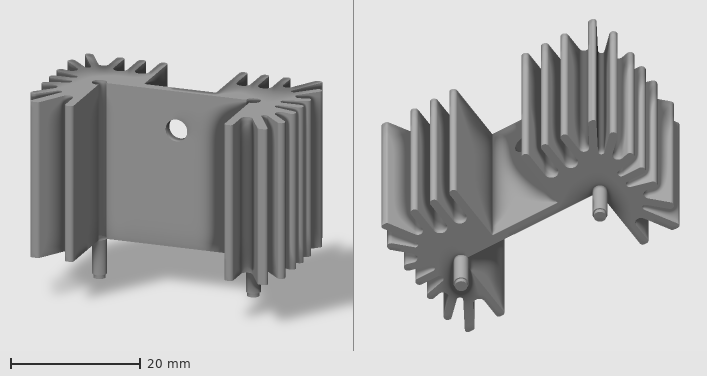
import cadquery as cq
import math

width = 41.9
depth = 24.9
height = 25.4
side_x = -width / 2
rear_y = depth / 2
front_y = -depth / 2

web_thickness = 1.65
rear_channel_half_width = 5.95
front_pocket_half_width = 12.45

mount_diameter = 3.55
mount_height = 19.03

fin_thickness = 1.3
steep_front_fin_thickness = 1.55
front_fin_thickness = 1.42
rear_fin_pitch = 3.55
steep_rear_fin_x = -19.15
steep_front_fin_x = -19.0
diagonal_fin_y = 8.75
shallow_fin_y = 3.48
tip_radius = 0.63
steep_tip_radius = 0.45
front_tip_radius = 0.5

rearward = 90
steep = 120
diagonal = 135
shallow = 165
sideways = 180
full_turn = 360

slot_floor_y = 6.1
rear_valley_radius = 0.85
steep_valley_radius = 0.5
diagonal_valley_radius = 0.9
shallow_valley_radius = 0.6
front_valley_radius = 0.92

pin_diameter = 2.35
pin_spacing = 25.4
pin_length = 6.35
pin_tip_length = 0.65
pin_tip_diameter = 1.93
pin_centers = [(-pin_spacing / 2, 0), (pin_spacing / 2, 0)]


def make_fin(tip, direction, thickness=fin_thickness, radius=tip_radius):
    """Describe a fin by the middle of its tip, its direction, thickness and tip radius."""
    return {"tip": tip, "angle": math.radians(direction), "thickness": thickness, "radius": radius}


def left_fins():
    """Fins of the left half, counterclockwise from the rear channel to the front pocket."""
    first_x = -rear_channel_half_width - fin_thickness / 2
    front_x = -front_pocket_half_width - front_fin_thickness / 2
    rear_fins = [make_fin((first_x - i * rear_fin_pitch, rear_y), rearward) for i in range(3)]
    return rear_fins + [
        make_fin((steep_rear_fin_x, rear_y), steep, radius=steep_tip_radius),
        make_fin((side_x, diagonal_fin_y), diagonal),
        make_fin((side_x, shallow_fin_y), shallow),
        make_fin((side_x, 0), sideways),
        make_fin((side_x, -shallow_fin_y), full_turn - shallow),
        make_fin((side_x, -diagonal_fin_y), full_turn - diagonal),
        make_fin(
            (steep_front_fin_x, front_y), full_turn - steep, steep_front_fin_thickness, steep_tip_radius
        ),
        make_fin((front_x, front_y), full_turn - rearward, front_fin_thickness, front_tip_radius),
    ]


wedge_valley_radii = [
    rear_valley_radius,
    steep_valley_radius,
    diagonal_valley_radius,
    shallow_valley_radius,
    shallow_valley_radius,
    diagonal_valley_radius,
    steep_valley_radius,
    front_valley_radius,
]


def meeting_point(point_a, angle_a, point_b, angle_b):
    """Point where two lines meet, each given by a point and an angle."""
    gap_x = point_b[0] - point_a[0]
    gap_y = point_b[1] - point_a[1]
    distance = (gap_x * math.sin(angle_b) - gap_y * math.cos(angle_b)) / math.sin(angle_b - angle_a)
    return (point_a[0] + distance * math.cos(angle_a), point_a[1] + distance * math.sin(angle_a))


def flank_point(fin, turn):
    """Point on a fin's flank: turn is -1 for its clockwise flank and 1 for the other."""
    offset = turn * fin["thickness"] / 2
    x, y = fin["tip"]
    return (x - offset * math.sin(fin["angle"]), y + offset * math.cos(fin["angle"]))


def tip_corners(fin):
    """The two corners where a fin's flanks meet the outer boundary."""
    boundary_angle = math.pi / 2 if fin["tip"][0] == side_x else 0
    return [
        (meeting_point(flank_point(fin, turn), fin["angle"], fin["tip"], boundary_angle), fin["radius"])
        for turn in (-1, 1)
    ]


def slot_corners(fin, next_fin):
    """The two floor corners of a straight slot whose floor is a half circle."""
    start_x = flank_point(fin, 1)[0]
    end_x = flank_point(next_fin, -1)[0]
    radius = (start_x - end_x) / 2
    return [((start_x, slot_floor_y), radius), ((end_x, slot_floor_y), radius)]


def wedge_corner(fin, next_fin, radius):
    """The corner where the facing flanks of two neighbouring fins would meet."""
    start, end = flank_point(fin, 1), flank_point(next_fin, -1)
    return [(meeting_point(start, fin["angle"], end, next_fin["angle"]), radius)]


def left_corners():
    """Corners of the left half of the outline, each a point and its rounding radius."""
    fins = left_fins()
    valleys = [slot_corners(fins[0], fins[1]), slot_corners(fins[1], fins[2])]
    for fin, next_fin, radius in zip(fins[2:], fins[3:], wedge_valley_radii):
        valleys.append(wedge_corner(fin, next_fin, radius))
    corners = [((-rear_channel_half_width, web_thickness), 0)]
    for fin, valley in zip(fins, valleys):
        corners += tip_corners(fin) + valley
    return corners + tip_corners(fins[-1]) + [((-front_pocket_half_width, 0), 0)]


def corner_arc(before, corner, after, radius):
    """Start, middle and end of the arc that rounds a corner."""
    x, y = corner
    angle_in = math.atan2(before[1] - y, before[0] - x)
    angle_out = math.atan2(after[1] - y, after[0] - x)
    bisector = math.atan2(
        math.sin(angle_in) + math.sin(angle_out), math.cos(angle_in) + math.cos(angle_out)
    )
    half_angle = math.acos(math.cos(angle_in - angle_out)) / 2
    tangent_length = radius / math.tan(half_angle)
    middle_distance = radius / math.sin(half_angle) - radius
    steps = [(tangent_length, angle_in), (middle_distance, bisector), (tangent_length, angle_out)]
    return [(x + length * math.cos(angle), y + length * math.sin(angle)) for length, angle in steps]


def rounded_outline(corners):
    """Closed outline through the corners, rounded with arcs; the first corner must be sharp."""
    shortest_line = 4.19e-07
    points = [point for point, _ in corners]
    current = points[0]
    outline = cq.Workplane("XY").moveTo(*current)
    for i in range(1, len(corners)):
        point, radius = corners[i]
        arc = [point]
        if radius > 0:
            arc = corner_arc(points[i - 1], point, points[(i + 1) % len(points)], radius)
        if math.dist(current, arc[0]) > shortest_line:
            outline = outline.lineTo(*arc[0])
        if radius > 0:
            outline = outline.threePointArc(arc[1], arc[2])
        current = arc[-1]
    return outline.close()


def make_heat_sink():
    """Finned extrusion with a round channel at each end of the web and a mounting hole."""
    left = left_corners()
    right = [((-x, y), radius) for (x, y), radius in reversed(left)]
    body = rounded_outline(left + right).extrude(height)
    channels = cq.Workplane("XY").pushPoints(pin_centers).circle(pin_diameter / 2).extrude(height)
    mount_hole = (
        cq.Workplane("XZ").center(0, mount_height).circle(mount_diameter / 2).extrude(-web_thickness)
    )
    return body.cut(channels).cut(mount_hole)


def make_pin(center):
    """Round pin with a thinner tip, its top level with the bottom of the heat sink."""
    shank = cq.Workplane("XY").center(*center).circle(pin_diameter / 2).extrude(pin_tip_length - pin_length)
    return shank.faces("<Z").workplane().circle(pin_tip_diameter / 2).extrude(pin_tip_length)


heat_sink = make_heat_sink()
pins = [make_pin(center) for center in pin_centers]

result = cq.Compound.makeCompound([heat_sink.val(), *[pin.val() for pin in pins]])